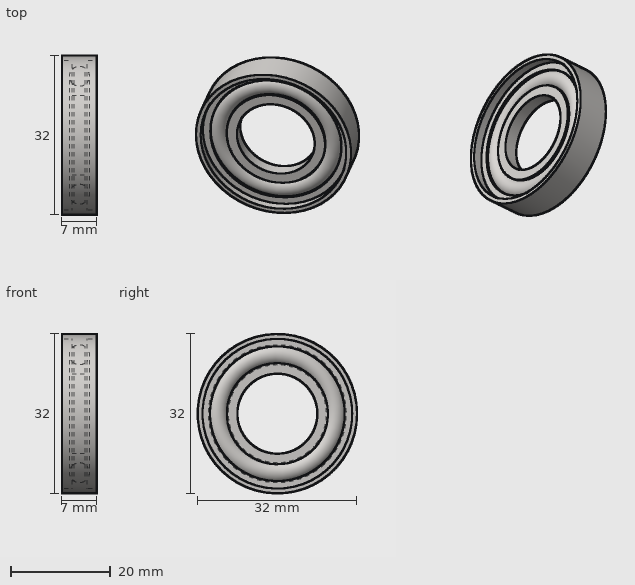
import cadquery as cq

outer_diameter = 32.0
rim_width = 7.0
rim_inner_diameter = 30.0
flange_diameter = 27.0
race_diameter = 20.3
bore_diameter = 16.0
face_recess = 2.0

seal_thickness = 4.0

web_width = rim_width - 2 * face_recess
seal_centre_radius = (flange_diameter + race_diameter) / 4


def make_ring(outside, inside, width):
    """Plain ring about X, centred at X = 0."""
    return (
        cq.Workplane("YZ", origin=(-width / 2, 0, 0))
        .circle(outside / 2)
        .circle(inside / 2)
        .extrude(width)
    )


def make_outer_ring():
    """Wide rim with a narrower flange around its middle, grooved for the seal."""
    rim = make_ring(outer_diameter, rim_inner_diameter, rim_width)
    flange = make_ring(outer_diameter, flange_diameter, web_width)
    return rim.union(flange).cut(make_seal_ring())


def make_inner_ring():
    """Ring in the same plane as the flange, grooved outside for the seal."""
    return make_ring(race_diameter, bore_diameter, web_width).cut(make_seal_ring())


def make_seal_ring():
    """Torus bridging the gap between the flange and the inner ring."""
    return (
        cq.Workplane("XY")
        .center(0, seal_centre_radius)
        .circle(seal_thickness / 2)
        .revolve(360, (0, -seal_centre_radius), (1, -seal_centre_radius))
    )


outer_ring = make_outer_ring()
inner_ring = make_inner_ring()
seal_ring = make_seal_ring()

result = cq.Compound.makeCompound([outer_ring.val(), inner_ring.val(), seal_ring.val()])